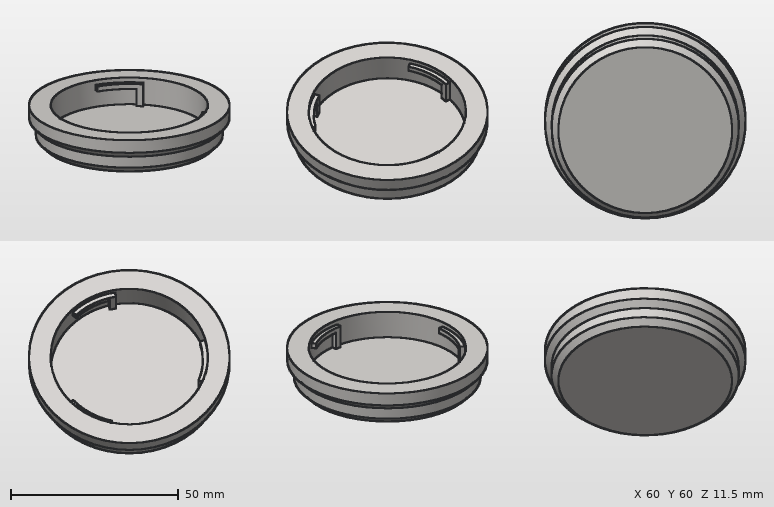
import cadquery as cq
import math

rim_diameter = 60.0
neck_diameter = 56.0
total_height = 11.5
rim_height = 4.0
step = (rim_diameter - neck_diameter) / 2

pocket_diameter = 47.0
floor_thickness = 3.0

lug_count = 3
lug_thickness = 1.5
lug_top_depth = 1.5
ledge_height = 1.6
lug_start_angle = 6.4
ledge_sweep = 36.0
leg_sweep = 5.0
wall_overlap = 0.3


def make_body():
    """Revolve the stepped profile, with a taper below each cylinder, and cut the pocket."""
    rim_radius = rim_diameter / 2
    neck_radius = neck_diameter / 2
    rim_bottom = total_height - rim_height
    profile = [
        (0, 0),
        (neck_radius - step, 0),
        (neck_radius, step),
        (neck_radius, rim_bottom - step),
        (rim_radius, rim_bottom),
        (rim_radius, total_height),
        (0, total_height),
    ]
    body = cq.Workplane("XZ").polyline(profile).close().revolve(360, (0, 0), (0, 1))
    pocket = (
        cq.Workplane("XY")
        .workplane(offset=floor_thickness)
        .circle(pocket_diameter / 2)
        .extrude(total_height - floor_thickness)
    )
    return body.cut(pocket)


def polar(radius, angle):
    """Point at a radius and an angle in degrees."""
    return radius * math.cos(math.radians(angle)), radius * math.sin(math.radians(angle))


def ring_sector(start, sweep, bottom, top):
    """Curved block along the pocket wall with radial ends."""
    inner = pocket_diameter / 2 - lug_thickness
    outer = pocket_diameter / 2 + wall_overlap
    middle = start + sweep / 2
    end = start + sweep
    return (
        cq.Workplane("XY")
        .workplane(offset=bottom)
        .moveTo(*polar(inner, start))
        .lineTo(*polar(outer, start))
        .threePointArc(polar(outer, middle), polar(outer, end))
        .lineTo(*polar(inner, end))
        .threePointArc(polar(inner, middle), polar(inner, start))
        .close()
        .extrude(top - bottom)
    )


def make_lug(start):
    """L-shaped lug: a ledge with a stop leg down to the floor at its clockwise end."""
    top = total_height - lug_top_depth
    ledge = ring_sector(start, ledge_sweep, top - ledge_height, top)
    leg = ring_sector(start, leg_sweep, floor_thickness - wall_overlap, top)
    return ledge.union(leg)


result = make_body()
for index in range(lug_count):
    result = result.union(make_lug(lug_start_angle + index * 360 / lug_count))